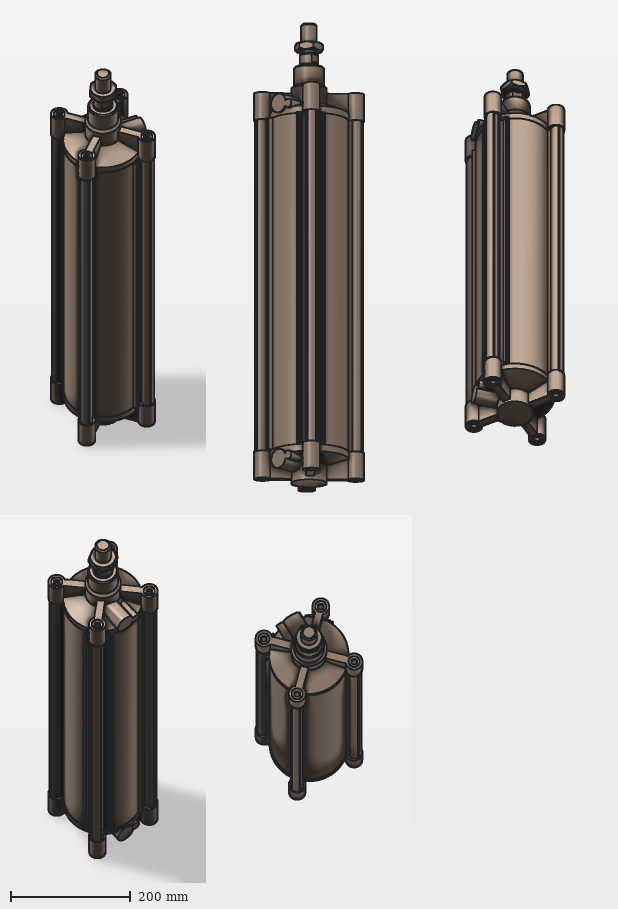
import cadquery as cq
import math

total_length = 785.0
spigot_height = 6.0
cap_height = 46.0
boss_top = 666.0
collar_top = 711.0
shoulder_level = 732.0
barrel_bottom = spigot_height + cap_height
barrel_top = boss_top - cap_height

corner_spacing = 110.0
boss_diameter = 28.0
cap_disc_diameter = 133.0
cap_disc_height = 12.0
front_cone_height = 15.0
rear_cone_height = 12.0
neck_diameter = 60.0
rib_width = 13.0
recess_diameter = 19.0
recess_depth = 1.5
socket_diameter = 10.0
socket_depth = 8.0

port_diameter = 32.0
port_offset = 6.0
valve_diameter = 15.0
valve_offset = -15.0
port_level = 20.5
valve_level = 17.0
port_face = 69.0

collar_diameter = 50.0
collar_chamfer = 2.0
flange_height = 13.0
flange_chamfer = (neck_diameter - collar_diameter) / 2

barrel_diameter = 131.0
tie_spacing = 113.0
tie_diameter = 21.0
tie_web_width = 13.0
groove_width = 2.0
groove_depth = 2.0
rail_angle = 16
rail_width = 9.0
rail_reach = 72.0
rail_slot_width = 2.0
rail_slot_depth = 3.0

rod_diameter = 32.0
thread_diameter = 27.0
thread_chamfer = 3.0
undercut_diameter = 24.0
undercut_height = 3.0
wrench_diameter = 31.5
wrench_bottom = 715.0
flat_spacing = 27.0
flat_height = 14.0
nut_across_flats = 42.0
nut_height = 12.5
nut_bottom = 739.0

half_spacing = corner_spacing / 2
corner_distance = half_spacing * math.sqrt(2)
tie_lines = (-tie_spacing / 2, tie_spacing / 2)
corner_angles = [45, 135, 225, 315]
corners = [(x, y) for x in (-half_spacing, half_spacing) for y in (-half_spacing, half_spacing)]


def cylinder(diameter, bottom, height, places=((0, 0),)):
    """Upright cylinders of one size, one at each (x, y) place."""
    return (
        cq.Workplane("XY", origin=(0, 0, bottom))
        .pushPoints(places)
        .circle(diameter / 2)
        .extrude(height)
    )


def block(x_range, y_range, z_range):
    """A box given by its low and high limits along each axis."""
    size = [high - low for low, high in (x_range, y_range, z_range)]
    return cq.Workplane("XY").box(*size, centered=False).translate((x_range[0], y_range[0], z_range[0]))


def turned_to(shape, angle):
    """The shape turned about the Z axis."""
    return shape.rotate((0, 0, 0), (0, 0, 1), angle)


def radial_bar(width, inner, outer, bottom, height, angle):
    """A straight bar pointing outward from the axis."""
    bar = block((inner, outer), (-width / 2, width / 2), (bottom, bottom + height))
    return turned_to(bar, angle)


def port_stub(diameter, x, z):
    """A round stub that runs from the axis to the +Y face of a cap."""
    return (
        cq.Workplane("XZ", origin=(x, 0, z))
        .circle(diameter / 2)
        .extrude(-port_face)
    )


def make_cap(cone_height):
    """Cap with its barrel face at Z = 0 and its outer end at Z = cap_height."""
    cone_top = cap_disc_height + cone_height
    dome_profile = [
        (0, 0),
        (cap_disc_diameter / 2, 0),
        (cap_disc_diameter / 2, cap_disc_height),
        (neck_diameter / 2, cone_top),
        (neck_diameter / 2, cap_height),
        (0, cap_height),
    ]
    cap = cq.Workplane("XZ").polyline(dome_profile).close().revolve(360, (0, 0, 0), (0, 1, 0))
    cap = cap.union(cylinder(boss_diameter, 0, cap_height, corners))
    for angle in corner_angles:
        cap = cap.union(radial_bar(rib_width, 0, corner_distance, 0, cap_height, angle))
    cap = cap.union(port_stub(port_diameter, port_offset, port_level))
    cap = cap.union(port_stub(valve_diameter, valve_offset, valve_level))

    recess_floor = cap_height - recess_depth
    cap = cap.cut(cylinder(recess_diameter, recess_floor, recess_depth, corners))
    cap = cap.cut(cylinder(socket_diameter, recess_floor - socket_depth, socket_depth, corners))
    return cap


def make_front_cap():
    """Front cap with the guide collar and the bore for the piston rod."""
    cap = make_cap(front_cone_height).translate((0, 0, barrel_top))
    flange = cylinder(neck_diameter, boss_top, flange_height).faces(">Z").chamfer(flange_chamfer)
    collar = cylinder(collar_diameter, boss_top, collar_top - boss_top).faces(">Z").chamfer(collar_chamfer)
    rod_bore = cylinder(rod_diameter, barrel_top, collar_top - barrel_top)
    return cap.union(flange).union(collar).cut(rod_bore)


def make_rear_cap():
    """Rear cap, upside down, with a short centring spigot."""
    cap = make_cap(rear_cone_height).mirror("XY").translate((0, 0, barrel_bottom))
    return cap.union(cylinder(neck_diameter, 0, spigot_height))


def tie_grooves(bottom, height):
    """Narrow grooves along the outward X and Y sides of each tie-rod profile."""
    outer = tie_spacing / 2 + tie_diameter / 2
    center_distance = outer - groove_depth / 2
    return (
        cq.Workplane("XY", origin=(0, 0, bottom))
        .pushPoints([(x, y) for x in (-center_distance, center_distance) for y in tie_lines])
        .rect(groove_depth, groove_width)
        .pushPoints([(x, y) for x in tie_lines for y in (-center_distance, center_distance)])
        .rect(groove_width, groove_depth)
        .extrude(height)
    )


def sensor_rail(angle, bottom, height):
    """Rail standing on the barrel, with a slot along its outer side."""
    rail = radial_bar(rail_width, 0, rail_reach, bottom, height, angle)
    slot_floor = rail_reach - rail_slot_depth
    return rail.cut(radial_bar(rail_slot_width, slot_floor, rail_reach, bottom, height, angle))


def make_barrel():
    """Barrel with four tie-rod profiles joined to it by webs, and four sensor rails."""
    length = barrel_top - barrel_bottom
    ties = [(x, y) for x in tie_lines for y in tie_lines]
    barrel = cylinder(barrel_diameter, barrel_bottom, length)
    barrel = barrel.union(cylinder(tie_diameter, barrel_bottom, length, ties))
    for angle in corner_angles:
        barrel = barrel.union(radial_bar(tie_web_width, 0, corner_distance, barrel_bottom, length, angle))
    barrel = barrel.cut(tie_grooves(barrel_bottom, length))

    for corner_angle in (45, 135):
        for side in (-rail_angle, rail_angle):
            barrel = barrel.union(sensor_rail(corner_angle + side, barrel_bottom, length))
    return barrel


def make_rod():
    """Piston rod from the end of the barrel to the threaded tip."""
    wrench_length = shoulder_level - wrench_bottom
    undercut_top = shoulder_level + undercut_height
    rod = cylinder(rod_diameter, barrel_top, wrench_bottom - barrel_top)
    rod = rod.union(cylinder(wrench_diameter, wrench_bottom, wrench_length))
    rod = rod.union(cylinder(undercut_diameter, shoulder_level, undercut_height))
    thread = cylinder(thread_diameter, undercut_top, total_length - undercut_top)
    rod = rod.union(thread.faces(">Z").chamfer(thread_chamfer))

    half_flat = flat_spacing / 2
    radius = wrench_diameter / 2
    flat_cut = block((half_flat, radius), (-radius, radius), (shoulder_level - flat_height, shoulder_level))
    return rod.cut(flat_cut).cut(flat_cut.mirror("YZ"))


def make_nut():
    """Hexagonal lock nut with two sides facing -X and +X."""
    corner_diameter = nut_across_flats / math.cos(math.pi / 6)
    hexagon = cq.Workplane("XY", origin=(0, 0, nut_bottom)).polygon(6, corner_diameter).extrude(nut_height)
    corner_cut = (corner_diameter - nut_across_flats) / 2
    rounding = cylinder(corner_diameter, nut_bottom, nut_height).faces("<Z or >Z").chamfer(corner_cut)
    nut = turned_to(hexagon, 90).intersect(rounding)
    return nut.cut(cylinder(thread_diameter, nut_bottom, nut_height))


front_cap = make_front_cap()
rear_cap = make_rear_cap()
barrel = make_barrel()
rod = make_rod()
nut = make_nut()

result = cq.Compound.makeCompound([front_cap.val(), rear_cap.val(), barrel.val(), rod.val(), nut.val()])